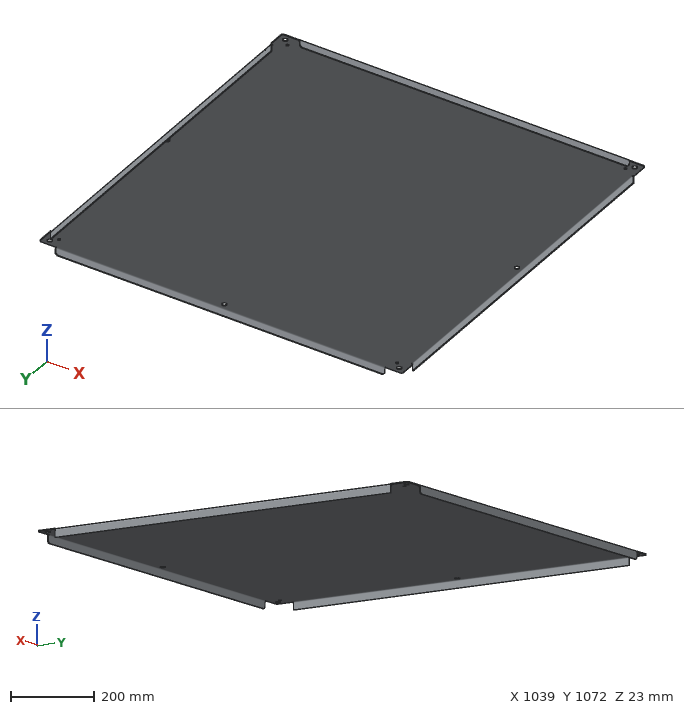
import cadquery as cq
import math

width = 1039.0
length = 1072.0
height = 23.0
thickness = 3.0

ear_setback = 4.0
corner_radius = 5.0

y_flange_length = 943.0
bend_radius = 5.9
y_flange_chamfer = 5.0
x_flange_length = 964.0

mount_hole_diameter = 13.0
mount_hole_x = 500.0
mount_hole_y = 515.0
small_hole_diameter = 7.2
small_hole_x = 484.0
small_hole_y = 499.0


def bent_strip(half_span, strip_length):
    """Sheet running from the centre to half_span, bent down there; extruded along its edge."""
    inner_radius = bend_radius - thickness
    bend_start = half_span - bend_radius
    inner_face = half_span - thickness
    diagonal = math.sqrt(0.5)
    bend_z = height - bend_radius
    outer_mid = (bend_start + bend_radius * diagonal, bend_z + bend_radius * diagonal)
    inner_mid = (bend_start + inner_radius * diagonal, bend_z + inner_radius * diagonal)
    return (
        cq.Workplane("XZ")
        .moveTo(0, height)
        .lineTo(bend_start, height)
        .threePointArc(outer_mid, (half_span, bend_z))
        .lineTo(half_span, 0)
        .lineTo(inner_face, 0)
        .lineTo(inner_face, bend_z)
        .threePointArc(inner_mid, (bend_start, height - thickness))
        .lineTo(0, height - thickness)
        .close()
        .extrude(strip_length / 2, both=True)
    )


def corner_points(x, y):
    return [(sx * x, sy * y) for sx in (-1, 1) for sy in (-1, 1)]


def ear_plate():
    """Flat plate with rounded corners, relieved along each edge so that the bends stay free."""
    plate_length = length - 2 * ear_setback
    relief_height = 4 * height
    plate = (
        cq.Workplane("XY")
        .workplane(offset=height - thickness)
        .rect(width, plate_length)
        .extrude(thickness)
        .edges("|Z")
        .fillet(corner_radius)
    )
    for side in (-1, 1):
        x_relief = cq.Workplane("XY").box(2 * bend_radius, x_flange_length, relief_height)
        y_relief = cq.Workplane("XY").box(y_flange_length, 2 * bend_radius, relief_height)
        plate = plate.cut(x_relief.translate((side * width / 2, 0, 0)))
        plate = plate.cut(y_relief.translate((0, side * length / 2, 0)))
    return plate


x_strip = bent_strip(width / 2, x_flange_length)
y_strip = bent_strip(length / 2, y_flange_length)
y_strip = y_strip.faces("<Z").edges("|X").chamfer(y_flange_chamfer)

panel = ear_plate()
for turn in (0, 180):
    panel = panel.union(x_strip.rotate((0, 0, 0), (0, 0, 1), turn))
    panel = panel.union(y_strip.rotate((0, 0, 0), (0, 0, 1), turn + 90))

mount_points = corner_points(mount_hole_x, mount_hole_y)
mount_points += [(-mount_hole_x, 0), (mount_hole_x, 0), (0, -mount_hole_y), (0, mount_hole_y)]
mount_holes = cq.Workplane("XY").pushPoints(mount_points).circle(mount_hole_diameter / 2).extrude(height)

small_points = corner_points(small_hole_x, small_hole_y)
small_holes = cq.Workplane("XY").pushPoints(small_points).circle(small_hole_diameter / 2).extrude(height)

result = panel.cut(mount_holes).cut(small_holes)